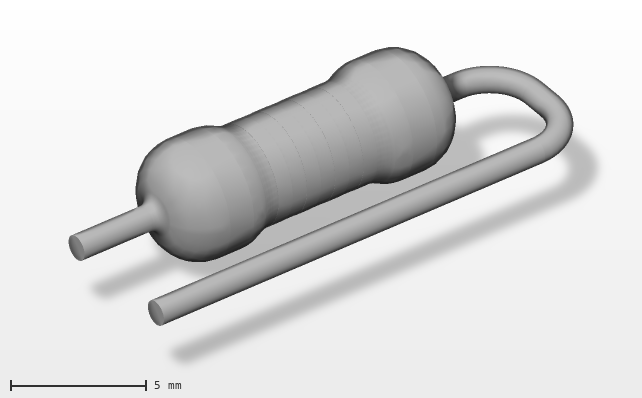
import cadquery as cq
import math


total_length = 19.8
wire_diameter = 1.0
lead_pitch = 4.99
bend_radius = 2.0

body_center_y = 9.94
body_length = 12.73
cap_diameter = 4.8
waist_diameter = 4.08
dome_radius = 1.68
cap_straight_length = 1.07
shoulder_length = 1.37
collar_length = 0.48
collar_base_diameter = 1.82

band_diameter = 4.1
band_count = 4

wire_radius = wire_diameter / 2
cap_radius = cap_diameter / 2
waist_radius = waist_diameter / 2
body_half_length = body_length / 2
dome_start = body_half_length - dome_radius
shoulder_start = dome_start - cap_straight_length
waist_half_length = shoulder_start - shoulder_length
dome_top_radius = cap_radius - dome_radius
band_width = 2 * waist_half_length / (2 * band_count - 1)


def cylinder_along_y(diameter, start_y, length):
    return cq.Workplane("XZ", origin=(0, start_y, 0)).circle(diameter / 2).extrude(-length)


def make_cap():
    """The +Y end of the body, from the waist to the top of the wire collar."""
    shoulder_drop = cap_radius - waist_radius
    shoulder_radius = (shoulder_length**2 + shoulder_drop**2) / (4 * shoulder_drop)
    shoulder_middle = (cap_radius - shoulder_drop / 2, shoulder_start - shoulder_length / 2)

    collar_base_radius = collar_base_diameter / 2
    dome_offset = collar_base_radius - dome_top_radius
    collar_base_y = dome_start + math.sqrt(dome_radius**2 - dome_offset**2)
    collar_top_y = body_half_length + collar_length

    profile = (
        cq.Workplane("XY")
        .moveTo(0, waist_half_length)
        .lineTo(waist_radius, waist_half_length)
        .radiusArc(shoulder_middle, shoulder_radius)
        .tangentArcPoint((cap_radius, shoulder_start), relative=False)
        .lineTo(cap_radius, dome_start)
        .tangentArcPoint((collar_base_radius, collar_base_y), relative=False)
    )

    flare = collar_base_radius - wire_radius
    drop = collar_top_y - collar_base_y
    flare_radius = (flare**2 + drop**2) / (2 * flare)
    half_angle = math.atan2(flare, drop)
    flare_middle = (
        wire_radius + flare_radius * (1 - math.cos(half_angle)),
        collar_top_y - flare_radius * math.sin(half_angle),
    )
    profile = (
        profile.threePointArc(flare_middle, (wire_radius, collar_top_y))
        .lineTo(0, collar_top_y)
        .close()
    )
    return profile.revolve(360, (0, 0), (0, 1))


def make_body():
    waist = cylinder_along_y(waist_diameter, -waist_half_length, 2 * waist_half_length)
    cap = make_cap()
    body = waist.union(cap).union(cap.mirror("XZ"))
    for index in range(band_count):
        band_start = -waist_half_length + 2 * index * band_width
        body = body.union(cylinder_along_y(band_diameter, band_start, band_width))
    return body.translate((0, body_center_y, 0))


def make_wire():
    """One continuous wire through the body, over the bend and back to Y = 0."""
    top_y = total_length - wire_radius
    bend_start = top_y - bend_radius
    path = (
        cq.Workplane("XY")
        .lineTo(0, bend_start)
        .tangentArcPoint((bend_radius, top_y), relative=False)
        .lineTo(lead_pitch - bend_radius, top_y)
        .tangentArcPoint((lead_pitch, bend_start), relative=False)
        .lineTo(lead_pitch, 0)
    )
    return cq.Workplane("XZ").circle(wire_radius).sweep(path)


result = make_body().union(make_wire())